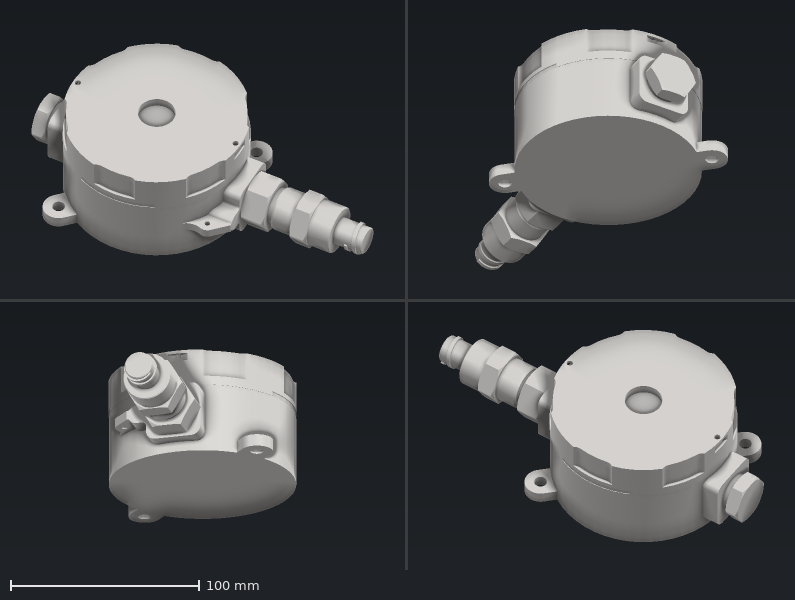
import cadquery as cq
import math

housing_radius = 49.8
housing_height = 37.5

entry_z = 20.5
boss_size = 30.0
boss_corner_radius = 5.0
boss_reach = 57.5

ear_radius = 8.5
ear_height = 6.5
ear_hole_diameter = 6.8
ear_centers = [(-36.7, -42.28), (38.4, 40.9)]

lug_barrel_radius = 5.0
lug_barrel_y = -20.0
lug_fillet = 2.0
lug_plate_thickness = 5.0
lug_hole = (46.0, -30.0)
lug_hole_diameter = 3.0
lug_nose_radius = 5.0
lug_blend_radius = 10.0

lid_radius = 50.0
lid_height = 20.0
lid_recess_diameter = 20.0
lid_recess_depth = 5.0
grip_count = 6
grip_floor_radius = 48.2
grip_half_angle = 9.8
grip_corner_radius = 5.5
grip_height = 15.0
skirt_recess_half_width = 22.0
skirt_recess_height = 2.5
skirt_recess_floor_radius = 49.5
wire_hole_diameter = 3.3
wire_hole_depth = 3.5
wire_hole_x = 47.2
wire_pocket_half_width = 5.85
wire_pocket_height = 4.1
wire_pocket_roof = 1.75

plug_neck_diameter = 21.0
plug_neck_length = 3.4
plug_hex_width = 24.0
plug_hex_length = 7.67

gland_hex_width = 27.0
adaptor_hex_length = 14.0
adaptor_neck_diameter = 21.0
adaptor_neck_length = 2.7
sleeve_diameter = 24.0
sleeve_length = 12.4
sleeve_chamfer_length = 1.2
sleeve_chamfer_depth = 0.6
nut_length = 10.0
shell_diameter = 26.0
shell_length = 12.8
shell_chamfer = 0.5
stem_diameter = 15.0
stem_length = 7.0
tip_length = 9.7
tip_chamfer = 0.5
thread_radius = 8.5
thread_pitch = 5.2
thread_width = 2.0
thread_start = 0.5
thread_turns = 1.4
thread_root_depth = 0.5

hex_end_ratio = 1.025
hex_cone_angle = 30.0


def rod(x_start, length, diameter):
    """Cylinder along +X on the entry axis."""
    return cq.Workplane("YZ", origin=(x_start, 0, entry_z)).circle(diameter / 2).extrude(length)


def hexagon(x_start, length, width):
    """Hexagon bar along +X with corners toward +Y and -Y and both ends coned."""
    corner_diameter = width / math.cos(math.radians(30))
    cone_depth = (corner_diameter - hex_end_ratio * width) / 2
    cone_length = cone_depth * math.tan(math.radians(hex_cone_angle))
    bar = cq.Workplane("YZ", origin=(x_start, 0, entry_z)).polygon(6, corner_diameter).extrude(length)
    envelope = (
        rod(x_start, length, corner_diameter)
        .faces("<X").chamfer(cone_length, cone_depth)
        .faces(">X").chamfer(cone_length, cone_depth)
    )
    return bar.intersect(envelope)


def entry_boss(direction):
    boss = cq.Workplane("YZ", origin=(0, 0, entry_z)).rect(boss_size, boss_size)
    return boss.extrude(direction * boss_reach).edges("|X").fillet(boss_corner_radius)


def mounting_ear(center):
    """Round-ended ear reaching from its center back into the drum at 45 degrees."""
    x, y = center
    inward = -math.copysign(1, x) * math.sqrt(0.5)
    reach = housing_radius / 2
    mid = (x + inward * reach / 2, y + inward * reach / 2)
    arm = (
        cq.Workplane("XY", origin=(mid[0], mid[1], 0))
        .transformed(rotate=(0, 0, 45)).rect(reach, 2 * ear_radius).extrude(ear_height)
    )
    return arm.union(cq.Workplane("XY").center(x, y).circle(ear_radius).extrude(ear_height))


def lug_barrel():
    """Round-edged web along X under the boss, with fillets where it meets the boss."""
    boss_side = -boss_size / 2
    r = lug_barrel_radius
    f = lug_fillet
    dip = f * (1 - math.sqrt(0.5))
    return (
        cq.Workplane("YZ", origin=(0, 0, entry_z))
        .moveTo(0, r + f)
        .lineTo(boss_side, r + f)
        .threePointArc((boss_side - dip, r + dip), (boss_side - f, r))
        .lineTo(lug_barrel_y, r)
        .threePointArc((lug_barrel_y - r, 0), (lug_barrel_y, -r))
        .lineTo(boss_side - f, -r)
        .threePointArc((boss_side - dip, -r - dip), (boss_side, -r - f))
        .lineTo(0, -r - f)
        .close()
        .extrude(boss_reach)
    )


def lug_plate():
    """Flat plate with a 45 degree edge, a round nose and a concave blend into the drum."""
    x, y = lug_hole
    nose = lug_nose_radius
    blend = lug_blend_radius
    to_drum = housing_radius + blend
    to_nose = nose + blend
    hole_distance = math.hypot(x, y)
    turn = math.acos((to_drum**2 + hole_distance**2 - to_nose**2) / (2 * to_drum * hole_distance))
    blend_angle = math.atan2(y, x) - turn
    blend_center = (to_drum * math.cos(blend_angle), to_drum * math.sin(blend_angle))
    drum_point = tuple(c * housing_radius / to_drum for c in blend_center)
    nose_point = tuple(h + (c - h) * nose / to_nose for h, c in zip(lug_hole, blend_center))
    edge_point = (x + nose * math.sqrt(0.5), y - nose * math.sqrt(0.5))
    middle = tuple((d + n) / 2 - c for d, n, c in zip(drum_point, nose_point, blend_center))
    blend_middle = tuple(c + m * blend / math.hypot(*middle) for c, m in zip(blend_center, middle))
    return (
        cq.Workplane("XY", origin=(0, 0, entry_z - lug_plate_thickness / 2))
        .moveTo(0, 0)
        .lineTo(*drum_point)
        .threePointArc(blend_middle, nose_point)
        .threePointArc((x, y - nose), edge_point)
        .lineTo(boss_reach, edge_point[1] + boss_reach - edge_point[0])
        .lineTo(boss_reach, 0)
        .close()
        .extrude(lug_plate_thickness)
    )


housing = cq.Workplane("XY").circle(housing_radius).extrude(housing_height)
for side in (-1, 1):
    housing = housing.union(entry_boss(side))
for ear_center in ear_centers:
    housing = housing.union(mounting_ear(ear_center))
housing = housing.union(lug_barrel()).union(lug_plate())
housing = housing.cut(
    cq.Workplane("XY").pushPoints(ear_centers).circle(ear_hole_diameter / 2).extrude(ear_height)
)
housing = housing.cut(
    cq.Workplane("XY").center(*lug_hole).circle(lug_hole_diameter / 2).extrude(housing_height)
)


lid_top = housing_height + lid_height


def grip_flute(angle):
    """Shallow finger flute: an arc floor that curves out to the rim at both ends."""
    floor_z = lid_top - grip_height
    outside = lid_radius + grip_corner_radius
    corner_distance = grip_floor_radius + grip_corner_radius
    half = math.radians(grip_half_angle)
    spread = outside * math.tan(half)
    wedge = (
        cq.Workplane("XY", origin=(0, 0, floor_z))
        .polyline([(0, 0), (outside, spread), (outside, -spread)]).close().extrude(grip_height)
    )
    flute = wedge.cut(
        cq.Workplane("XY", origin=(0, 0, floor_z)).circle(grip_floor_radius).extrude(grip_height)
    )
    for end in (half, -half):
        flute = flute.union(
            cq.Workplane("XY", origin=(0, 0, floor_z))
            .center(corner_distance * math.cos(end), corner_distance * math.sin(end))
            .circle(grip_corner_radius).extrude(grip_height)
        )
    return flute.rotate((0, 0, 0), (0, 0, 1), angle)


def wire_opening(angle):
    """Seal-wire hole from the top that breaks into a curved pocket in the rim."""
    hole = (
        cq.Workplane("XY", origin=(wire_hole_x, 0, lid_top - wire_hole_depth))
        .circle(wire_hole_diameter / 2).extrude(wire_hole_depth)
    )
    rim_x = math.sqrt(lid_radius**2 - wire_pocket_half_width**2)
    pocket = (
        cq.Workplane("XY", origin=(0, 0, lid_top - wire_pocket_roof - wire_pocket_height))
        .moveTo(rim_x, -wire_pocket_half_width)
        .threePointArc((wire_hole_x, 0), (rim_x, wire_pocket_half_width))
        .lineTo(lid_radius, wire_pocket_half_width)
        .lineTo(lid_radius, -wire_pocket_half_width)
        .close()
        .extrude(wire_pocket_height)
    )
    return hole.union(pocket).rotate((0, 0, 0), (0, 0, 1), angle)


def skirt_recesses():
    """Two shallow recesses along the lower edge, on the -Y and +Y sides."""
    base = cq.Workplane("XY", origin=(0, 0, housing_height))
    ring = base.circle(lid_radius).circle(skirt_recess_floor_radius).extrude(skirt_recess_height)
    band = base.rect(2 * skirt_recess_half_width, 2 * lid_radius).extrude(skirt_recess_height)
    return ring.intersect(band)


lid = cq.Workplane("XY", origin=(0, 0, housing_height)).circle(lid_radius).extrude(lid_height)
lid = lid.faces(">Z").workplane().hole(lid_recess_diameter, lid_recess_depth)
for index in range(grip_count):
    lid = lid.cut(grip_flute((index + 0.5) * 360 / grip_count))
for opening_angle in (0, 180):
    lid = lid.cut(wire_opening(opening_angle))
lid = lid.cut(skirt_recesses())


plug_neck_start = -boss_reach - plug_neck_length
plug = rod(plug_neck_start, plug_neck_length, plug_neck_diameter).union(
    hexagon(plug_neck_start - plug_hex_length, plug_hex_length, plug_hex_width)
)

adaptor_neck_start = boss_reach + adaptor_hex_length
adaptor = hexagon(boss_reach, adaptor_hex_length, gland_hex_width).union(
    rod(adaptor_neck_start, adaptor_neck_length, adaptor_neck_diameter)
)

sleeve_start = adaptor_neck_start + adaptor_neck_length
sleeve = (
    rod(sleeve_start, sleeve_length, sleeve_diameter)
    .faces("<X").chamfer(sleeve_chamfer_length, sleeve_chamfer_depth)
)

nut_start = sleeve_start + sleeve_length
nut = hexagon(nut_start, nut_length, gland_hex_width)

shell_start = nut_start + nut_length
shell = rod(shell_start, shell_length, shell_diameter).faces(">X").chamfer(shell_chamfer)

stem_start = shell_start + shell_length
stem = rod(stem_start, stem_length, stem_diameter)

tip_start = stem_start + stem_length


def thread_ridge():
    """Square helical ridge round the tip, rooted inside it and starting toward -Y."""
    root_radius = stem_diameter / 2 - thread_root_depth
    path = cq.Wire.makeHelix(thread_pitch, thread_pitch * thread_turns, root_radius)
    depth = thread_radius - root_radius
    ridge = (
        cq.Workplane("XZ").center(root_radius + depth / 2, 0).rect(depth, thread_width)
        .sweep(cq.Workplane(path), isFrenet=True)
    )
    ridge = ridge.rotate((0, 0, 0), (0, 1, 0), 90).rotate((0, 0, 0), (1, 0, 0), -90)
    return ridge.translate((tip_start + thread_start, 0, entry_z))


tip = rod(tip_start, tip_length, stem_diameter).faces(">X").chamfer(tip_chamfer)
tip = tip.union(thread_ridge().intersect(rod(tip_start, tip_length, 2 * thread_radius)))

bodies = [housing, lid, plug, adaptor, sleeve, nut, shell, stem, tip]
result = cq.Compound.makeCompound([body.val() for body in bodies])